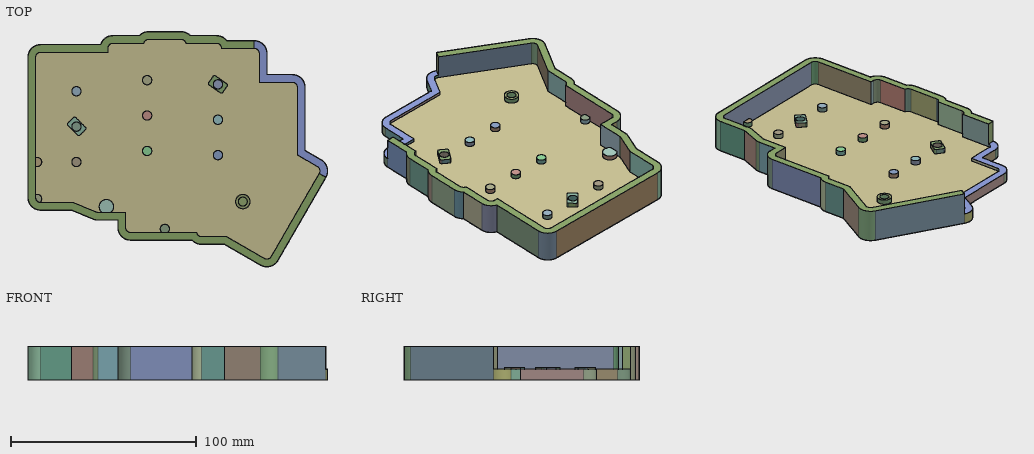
import cadquery as cq
import math

case_height = 18.1
low_wall_height = 5.8
floor_thickness = 4.2
wall = 4.2
inner_radius = 2.7
outer_radius = inner_radius + wall

key_pitch = 19.0
pin_diameter = 5.0
pin_height = 2.6

clip_length = 9.2
clip_width = 6.0
clip_corner_radius = 1.0
clip_height = pin_height
clip_hole_diameter = 5.0

boss_diameter = 7.8
boss_hole_diameter = 4.8
boss_height = pin_height
hole_depth_in_floor = 1.6

left_x = wall
right_x = 145.2
notch_x = 124.7
notch_y = 99.5
back_right_y = 117.8

thumb_tilt = math.radians(30)
thumb_start = (107.1, 16.3)
thumb_front_length = 26.2
thumb_side_length = 57.2


def thumb_offset(point, along_front, along_side):
    """Move a point along the front edge and the side edge of the thumb block."""
    x, y = point
    return (
        x + along_front * math.cos(thumb_tilt) + along_side * math.sin(thumb_tilt),
        y - along_front * math.sin(thumb_tilt) + along_side * math.cos(thumb_tilt),
    )


thumb_front_corner = thumb_offset(thumb_start, thumb_front_length, 0)
thumb_side_corner = thumb_offset(thumb_front_corner, 0, thumb_side_length)
thumb_join_y = thumb_side_corner[1] + (thumb_side_corner[0] - right_x) * math.tan(thumb_tilt)

cavity_corners = [
    (left_x, 115.7),
    (43.1, 115.7),
    (43.1, 120.5),
    (62.4, 120.5),
    (62.4, 122.6),
    (85.3, 122.6),
    (85.3, 120.5),
    (104.4, 120.5),
    (104.4, back_right_y),
    (notch_x, back_right_y),
    (notch_x, notch_y),
    (right_x, notch_y),
    (right_x, thumb_join_y),
    thumb_side_corner,
    thumb_front_corner,
    thumb_start,
    (91.0, 16.3),
    (91.0, 18.5),
    (52.7, 18.5),
    (52.7, 29.4),
    (37.3, 29.4),
    (24.4, 34.7),
    (left_x, 34.7),
]


def rounded_prism(corner_radius, bottom, top):
    """Prism whose convex corners are arcs about the centres of the cavity corner arcs."""
    arc_centres = cq.Workplane("XY", origin=(0, 0, bottom)).polyline(cavity_corners).close()
    arc_centres = arc_centres.offset2D(-inner_radius, "intersection")
    return arc_centres.offset2D(corner_radius, "arc").extrude(top - bottom)


case = rounded_prism(outer_radius, 0, case_height)
cavity = rounded_prism(inner_radius, floor_thickness, case_height)

low_start_x = notch_x - inner_radius
low_end = thumb_offset(thumb_side_corner, -inner_radius, -inner_radius)
cut_reach = 2 * outer_radius
low_wall_cut = (
    cq.Workplane("XY", origin=(0, 0, low_wall_height))
    .polyline([
        (low_start_x, back_right_y + cut_reach),
        (low_start_x, low_end[1]),
        low_end,
        thumb_offset(low_end, cut_reach, 0),
        (right_x + 2 * cut_reach, back_right_y + cut_reach),
    ])
    .close()
    .extrude(case_height - low_wall_height)
)


def post(centre, diameter, height):
    """Round post that stands on the cavity floor."""
    return (
        cq.Workplane("XY", origin=(0, 0, floor_thickness))
        .center(*centre)
        .circle(diameter / 2)
        .extrude(height)
    )


def blind_hole(centre, diameter):
    """Cutter for a hole that runs down through a support and part of the floor."""
    cutter_height = hole_depth_in_floor + pin_height
    return post(centre, diameter, cutter_height).translate((0, 0, -hole_depth_in_floor))


def clip(block_centre, angle):
    """Turned rectangular block that stands on the cavity floor."""
    return (
        cq.Workplane("XY")
        .rect(clip_length, clip_width)
        .extrude(clip_height)
        .edges("|Z")
        .fillet(clip_corner_radius)
        .rotate((0, 0, 0), (0, 0, 1), angle)
        .translate((*block_centre, floor_thickness))
    )


first_column_x = 26.2
column_pitch = 2 * key_pitch
column_front_y = [56.5, 62.5, 60.3]
rows = 3

clips = {
    (0, 1): (-45, (26.3, 75.8)),
    (2, 2): (-35, (102.5, 98.4)),
}
supports = []
holes = []
for column, front_y in enumerate(column_front_y):
    for row in range(rows):
        centre = (first_column_x + column * column_pitch, front_y + row * key_pitch)
        if (column, row) in clips:
            angle, block_centre = clips[(column, row)]
            supports.append(clip(block_centre, angle))
            holes.append(blind_hole(centre, clip_hole_diameter))
        else:
            supports.append(post(centre, pin_diameter, pin_height))

wall_pin_centres = [(5.0, 56.5), (5.0, 36.7), (73.8, 20.5)]
for centre in wall_pin_centres:
    supports.append(post(centre, pin_diameter, pin_height))

solid_centre = (42.3, 32.5)
hollow_centre = (115.8, 35.2)
supports.append(post(solid_centre, boss_diameter, boss_height))
supports.append(post(hollow_centre, boss_diameter, boss_height))
holes.append(blind_hole(hollow_centre, boss_hole_diameter))

result = case.cut(cavity).cut(low_wall_cut)
for support in supports:
    result = result.union(support)
for hole in holes:
    result = result.cut(hole)